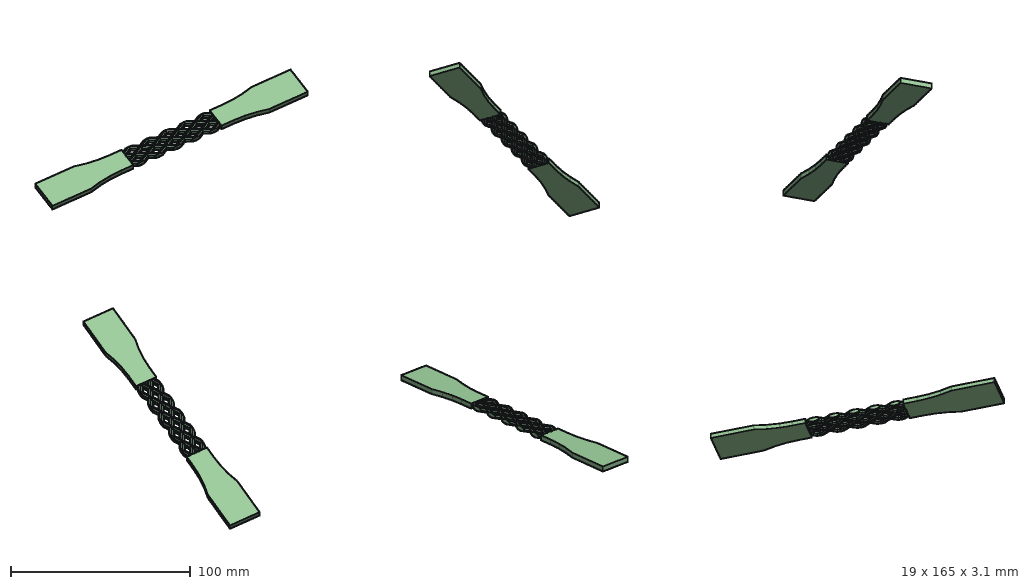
import cadquery as cq
import math

length = 165.0
thickness = 3.1
tab_width = 19.0
neck_width = 13.0

tab_length = 25.0
shoulder_radius = 76.0
shoulder_facets = 3

lattice_length = 57.0
columns = 2
cell_width = neck_width / columns
strut_sides = 8
strut_angle = 28.9
cell_length = cell_width / math.tan(math.radians(strut_angle))


def solid_end():
    """Solid grip end on the +Y side, narrowing to the neck along a faceted concave arc."""
    half_tab = tab_width / 2
    half_neck = neck_width / 2
    step = half_tab - half_neck
    shoulder_turn = math.acos(1 - step / shoulder_radius)
    shoulder_length = shoulder_radius * math.sin(shoulder_turn)
    y_inner = lattice_length / 2
    y_outer = length / 2
    y_neck = y_outer - tab_length - shoulder_length

    right_side = [(half_neck, y_inner)]
    for corner in range(shoulder_facets + 1):
        turn = shoulder_turn * corner / shoulder_facets
        x = half_neck + shoulder_radius * (1 - math.cos(turn))
        y = y_neck + shoulder_radius * math.sin(turn)
        right_side.append((x, y))
    right_side.append((half_tab, y_outer))
    left_side = [(-x, y) for x, y in reversed(right_side)]

    return (
        cq.Workplane("XY")
        .workplane(offset=-thickness / 2)
        .polyline(right_side + left_side)
        .close()
        .extrude(thickness)
    )


def strut(y_crossing, angle):
    """Octagonal strut crossing the Y axis at y_crossing, turned by angle about Z.

    Corners of the octagon point up, down and to both sides, so a ridge runs along the top.
    """
    return (
        cq.Workplane("XZ")
        .polygon(strut_sides, thickness)
        .extrude(lattice_length, both=True)
        .rotate((0, 0, 0), (0, 0, 1), angle)
        .translate((0, y_crossing, 0))
    )


def lattice():
    """Crossing struts trimmed to the neck width and to the gap between the ends."""
    reach = math.ceil(lattice_length / 2 / cell_length) + 1
    gauge_box = cq.Workplane("XY").box(neck_width, lattice_length, thickness)
    struts = cq.Workplane("XY")
    for row in range(-reach, reach + 1):
        for angle in (strut_angle, -strut_angle):
            struts = struts.add(strut(row * cell_length, angle).intersect(gauge_box))
    return struts.combine()


top_end = solid_end()
bottom_end = top_end.mirror("XZ")
result = lattice().union(top_end).union(bottom_end)